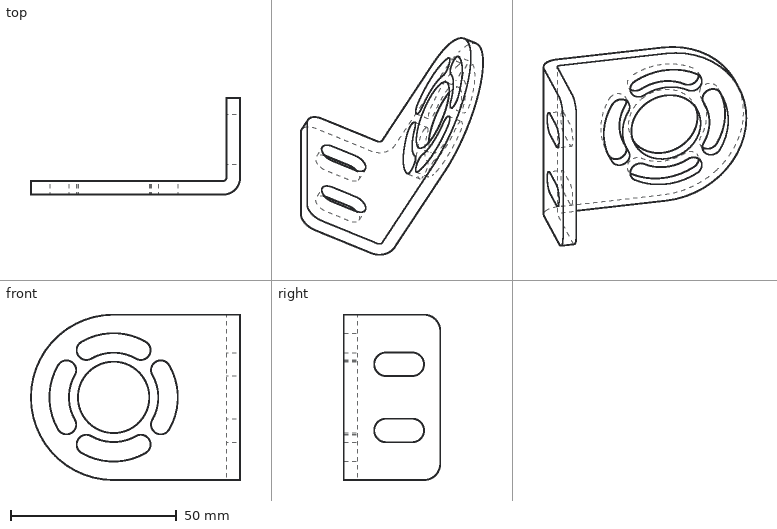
import cadquery as cq
import math

length = 63.2
flange_depth = 29.2
height = 50.0
thickness = 4.2
inner_bend_radius = 1.0
outer_bend_radius = inner_bend_radius + thickness
corner_radius = 5.0

end_radius = height / 2
right_side = length - end_radius
bore_diameter = 21.5

arc_slot_radius = 16.45
arc_slot_width = 5.8
arc_slot_half_angle = 30.0
arc_slot_count = 4

mount_slot_length = 15.0
mount_slot_width = 7.0
mount_slot_spacing = 20.0
mount_slot_y = 16.75


def polar(radius, degrees):
    angle = math.radians(degrees)
    return radius * math.cos(angle), radius * math.sin(angle)


def bent_sheet():
    """L-shaped sheet with concentric bend radii, extruded along Z."""
    return (
        cq.Workplane("XY")
        .workplane(offset=-height / 2)
        .moveTo(-end_radius, 0)
        .lineTo(right_side - outer_bend_radius, 0)
        .radiusArc((right_side, outer_bend_radius), -outer_bend_radius)
        .lineTo(right_side, flange_depth)
        .lineTo(right_side - thickness, flange_depth)
        .lineTo(right_side - thickness, outer_bend_radius)
        .radiusArc((right_side - outer_bend_radius, thickness), inner_bend_radius)
        .lineTo(-end_radius, thickness)
        .close()
        .extrude(height)
    )


def front_outline():
    """Full-depth body with a semicircular left end."""
    return (
        cq.Workplane("XZ")
        .moveTo(right_side, -end_radius)
        .lineTo(0, -end_radius)
        .threePointArc((-end_radius, 0), (0, end_radius))
        .lineTo(right_side, end_radius)
        .close()
        .extrude(-flange_depth)
    )


def arc_slot(direction):
    """Round-ended curved slot centred on the given angle."""
    inner = arc_slot_radius - arc_slot_width / 2
    outer = arc_slot_radius + arc_slot_width / 2
    start = direction - arc_slot_half_angle
    end = direction + arc_slot_half_angle
    end_cap_radius = arc_slot_width / 2
    return (
        cq.Workplane("XZ")
        .moveTo(*polar(outer, start))
        .threePointArc(polar(outer, direction), polar(outer, end))
        .radiusArc(polar(inner, end), -end_cap_radius)
        .threePointArc(polar(inner, direction), polar(inner, start))
        .radiusArc(polar(outer, start), -end_cap_radius)
        .close()
        .extrude(-thickness)
    )


def mount_slots():
    half_spacing = mount_slot_spacing / 2
    return (
        cq.Workplane("YZ")
        .workplane(offset=right_side - thickness)
        .pushPoints([(mount_slot_y, -half_spacing), (mount_slot_y, half_spacing)])
        .slot2D(mount_slot_length, mount_slot_width)
        .extrude(thickness)
    )


result = bent_sheet().intersect(front_outline())
result = result.faces(">Y").edges("|X").fillet(corner_radius)

bore = cq.Workplane("XZ").circle(bore_diameter / 2).extrude(-thickness)
result = result.cut(bore)
for index in range(arc_slot_count):
    result = result.cut(arc_slot(index * 360 / arc_slot_count))

result = result.cut(mount_slots())